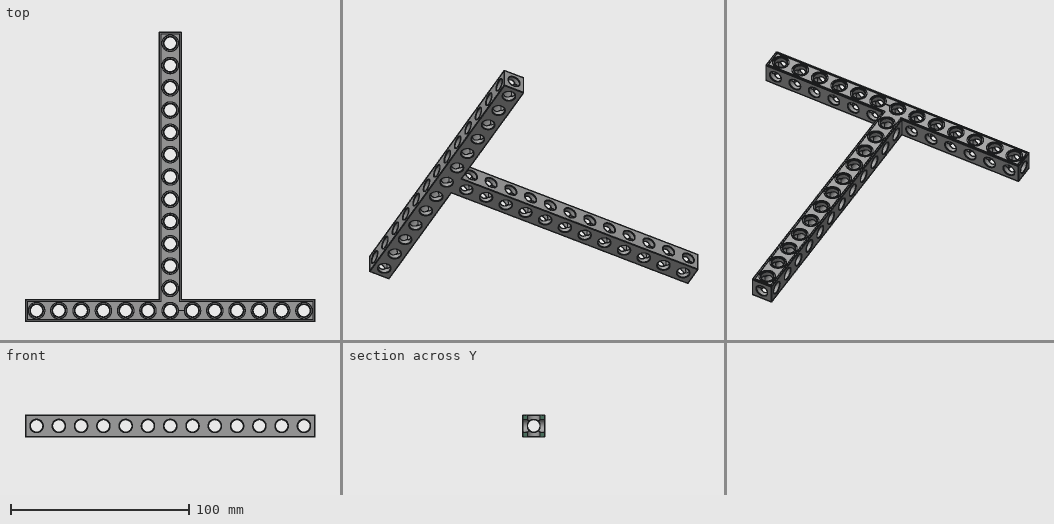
import cadquery as cq

LENGTH = 162.5
HOLE_COUNT = 13
HOLE_DIAMETER = 7.0
HOLE_CHAMFER = 0.31
EDGE_CHAMFER = 0.3
RIM_WIDTH = 1.1
RECESS_DEPTH = 0.2
COLLAR_DIAMETER = 9.3
RIB_WIDTH = 0.2

PITCH = LENGTH / HOLE_COUNT
HALF_LENGTH = LENGTH / 2
HALF_PITCH = PITCH / 2
HOLE_RADIUS = HOLE_DIAMETER / 2
MIDDLE_INDEX = (HOLE_COUNT - 1) / 2
OFFSETS = [(i - MIDDLE_INDEX) * PITCH for i in range(HOLE_COUNT)]

BAR_Y = OFFSETS[0]
BAR_BACK_Y = BAR_Y + HALF_PITCH
STEM_OFFSETS = OFFSETS[1:]
VERTICAL_HOLES = [(x, BAR_Y) for x in OFFSETS] + [(0, y) for y in STEM_OFFSETS]

FRONT_HOLES = [(x, -HALF_LENGTH) for x in OFFSETS]
BACK_HOLES = [(x, BAR_BACK_Y) for x in OFFSETS if abs(x) > HALF_PITCH] + [(0, HALF_LENGTH)]
RIGHT_HOLES = [(HALF_PITCH, y) for y in STEM_OFFSETS] + [(HALF_LENGTH, BAR_Y)]
LEFT_HOLES = [(-x, y) for x, y in RIGHT_HOLES]


def tee(inset, bottom, height):
    """T-shaped slab whose outline is shrunk inwards by inset."""
    width = PITCH - 2 * inset
    length = LENGTH - 2 * inset
    middle_z = bottom + height / 2
    bar = cq.Workplane("XY").box(length, width, height).translate((0, BAR_Y, middle_z))
    stem = cq.Workplane("XY").box(width, length, height).translate((0, 0, middle_z))
    return bar.union(stem)


def body():
    """T-shaped body with every edge chamfered except the two upright inner corners."""
    plain = tee(0, -HALF_PITCH, PITCH)
    flat_edges = plain.edges("#Z").vals()
    outer_uprights = [
        edge for edge in plain.edges("|Z").vals()
        if abs(edge.Center().x) > PITCH or edge.Center().y > 0
    ]
    return plain.newObject(flat_edges + outer_uprights).chamfer(EDGE_CHAMFER)


def recess():
    """Shallow pocket in the top face that leaves a rim, hole collars and one short rib."""
    floor = HALF_PITCH - RECESS_DEPTH
    collars = (
        cq.Workplane("XY", origin=(0, 0, floor))
        .pushPoints(VERTICAL_HOLES)
        .circle(COLLAR_DIAMETER / 2)
        .extrude(RECESS_DEPTH)
    )
    rib = (
        cq.Workplane("XY", origin=(HALF_PITCH, BAR_Y, floor))
        .rect(PITCH, RIB_WIDTH)
        .extrude(RECESS_DEPTH)
    )
    return tee(RIM_WIDTH, floor, RECESS_DEPTH).cut(collars).cut(rib)


def drill(plane, points):
    """Cylinders along the plane normal, long enough to cross the whole part."""
    return cq.Workplane(plane).pushPoints(points).circle(HOLE_RADIUS).extrude(HALF_LENGTH, both=True)


def countersinks(centers, inward):
    """Cones that chamfer the hole mouths at the centers, narrowing in the inward direction."""
    mouth_radius = HOLE_RADIUS + HOLE_CHAMFER
    cones = [
        cq.Solid.makeCone(mouth_radius, HOLE_RADIUS, HOLE_CHAMFER, cq.Vector(*center), cq.Vector(*inward))
        for center in centers
    ]
    return cq.Workplane("XY").newObject(cones).combine()


result = body().cut(recess())

result = result.cut(drill("XY", VERTICAL_HOLES))
result = result.cut(drill("XZ", [(x, 0) for x in OFFSETS]))
result = result.cut(drill("YZ", [(y, 0) for y in OFFSETS]))

MOUTHS = [
    ([(x, y, HALF_PITCH) for x, y in VERTICAL_HOLES], (0, 0, -1)),
    ([(x, y, -HALF_PITCH) for x, y in VERTICAL_HOLES], (0, 0, 1)),
    ([(x, y, 0) for x, y in FRONT_HOLES], (0, 1, 0)),
    ([(x, y, 0) for x, y in BACK_HOLES], (0, -1, 0)),
    ([(x, y, 0) for x, y in RIGHT_HOLES], (-1, 0, 0)),
    ([(x, y, 0) for x, y in LEFT_HOLES], (1, 0, 0)),
]
for mouth_centers, inward_direction in MOUTHS:
    result = result.cut(countersinks(mouth_centers, inward_direction))